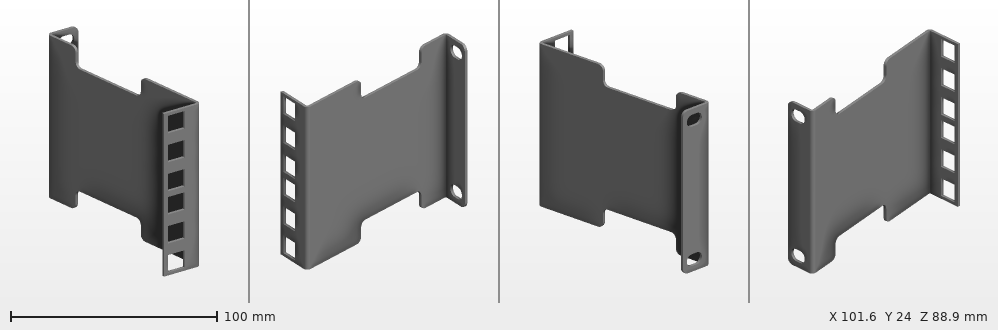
import cadquery as cq
import math

WIDTH = 101.6
DEPTH = 24.0
HEIGHT = 88.9

THICKNESS = 1.5
OUTER_BEND = 2.0
INNER_BEND = OUTER_BEND - THICKNESS

FRONT_FLANGE = 17.0
REAR_FLANGE = 21.1
FLANGE_CORNER_RADIUS = 3.0

NOTCH_LEFT = -31.4
NOTCH_RIGHT = 11.9
NOTCH_DEPTH = 11.1
NOTCH_RADIUS = 3.0

SLOT_LENGTH = 9.4
SLOT_HEIGHT = 6.5
SLOT_EDGE_DISTANCE = 7.1
SLOT_OFFSET = 38.1

SQUARE_SIZE = 9.5
SQUARE_EDGE_DISTANCE = 7.0
SQUARE_PITCH = 15.8
ROWS_PER_GROUP = 3
GROUP_GAP = 12.7

bend_x = WIDTH / 2 - OUTER_BEND
bend_y = DEPTH / 2 - OUTER_BEND
center_angle = math.atan2(bend_y, bend_x)
center_distance = 2 * math.hypot(bend_x, bend_y)
slope = center_angle + math.asin((OUTER_BEND + INNER_BEND) / center_distance)

front_edge_y = -DEPTH / 2 + FRONT_FLANGE
rear_edge_y = DEPTH / 2 - REAR_FLANGE


def bend_point(side, radius, angle):
    """Point on a bend arc; side is -1 for the front bend and 1 for the rear bend."""
    return (
        side * (bend_x + radius * math.cos(angle)),
        side * (bend_y + radius * math.sin(angle)),
    )


def folded_sheet():
    web_angle = math.pi / 2 + slope
    mid_angle = web_angle / 2
    profile = (
        cq.Workplane("XY")
        .moveTo(-WIDTH / 2, front_edge_y)
        .lineTo(*bend_point(-1, OUTER_BEND, 0))
        .threePointArc(bend_point(-1, OUTER_BEND, mid_angle), bend_point(-1, OUTER_BEND, web_angle))
        .lineTo(*bend_point(1, INNER_BEND, web_angle))
        .threePointArc(bend_point(1, INNER_BEND, mid_angle), bend_point(1, INNER_BEND, 0))
        .lineTo(WIDTH / 2 - THICKNESS, rear_edge_y)
        .lineTo(WIDTH / 2, rear_edge_y)
        .lineTo(*bend_point(1, OUTER_BEND, 0))
        .threePointArc(bend_point(1, OUTER_BEND, mid_angle), bend_point(1, OUTER_BEND, web_angle))
        .lineTo(*bend_point(-1, INNER_BEND, web_angle))
        .threePointArc(bend_point(-1, INNER_BEND, mid_angle), bend_point(-1, INNER_BEND, 0))
        .lineTo(-WIDTH / 2 + THICKNESS, front_edge_y)
        .close()
    )
    return profile.extrude(HEIGHT / 2, both=True)


def notch_cutter(end):
    """Notch through the web at the top (end = 1) or bottom (end = -1), flared at its mouth."""
    web_plane = cq.Plane(
        origin=(0, 0, 0),
        xDir=(math.cos(slope), math.sin(slope), 0),
        normal=(math.sin(slope), -math.cos(slope), 0),
    )
    left = NOTCH_LEFT / math.cos(slope)
    right = NOTCH_RIGHT / math.cos(slope)
    mouth = end * HEIGHT / 2
    floor = end * (HEIGHT / 2 - NOTCH_DEPTH)
    r = NOTCH_RADIUS
    outline = (
        cq.Workplane(web_plane)
        .moveTo(left - r, mouth)
        .radiusArc((left, mouth - end * r), end * r)
        .lineTo(left, floor + end * r)
        .radiusArc((left + r, floor), -end * r)
        .lineTo(right - r, floor)
        .radiusArc((right, floor + end * r), -end * r)
        .lineTo(right, mouth - end * r)
        .radiusArc((right + r, mouth), end * r)
        .close()
    )
    return outline.extrude(THICKNESS, both=True)


def slot_cutter(z):
    slot = cq.Workplane("YZ").slot2D(SLOT_LENGTH, SLOT_HEIGHT).extrude(THICKNESS, both=True)
    return slot.translate((-WIDTH / 2, front_edge_y - SLOT_EDGE_DISTANCE, z))


def square_cutter(z):
    square = cq.Workplane("YZ").rect(SQUARE_SIZE, SQUARE_SIZE).extrude(2 * THICKNESS, both=True)
    return square.translate((WIDTH / 2, rear_edge_y + SQUARE_EDGE_DISTANCE, z))


result = folded_sheet()

front_edge_center = (-WIDTH / 2 + THICKNESS / 2, front_edge_y, 0)
result = (
    result.faces(cq.selectors.NearestToPointSelector(front_edge_center))
    .edges("|X")
    .fillet(FLANGE_CORNER_RADIUS)
)

for end in (-1, 1):
    result = result.cut(notch_cutter(end))
    result = result.cut(slot_cutter(end * SLOT_OFFSET))
    for row in range(ROWS_PER_GROUP):
        result = result.cut(square_cutter(end * (GROUP_GAP / 2 + row * SQUARE_PITCH)))